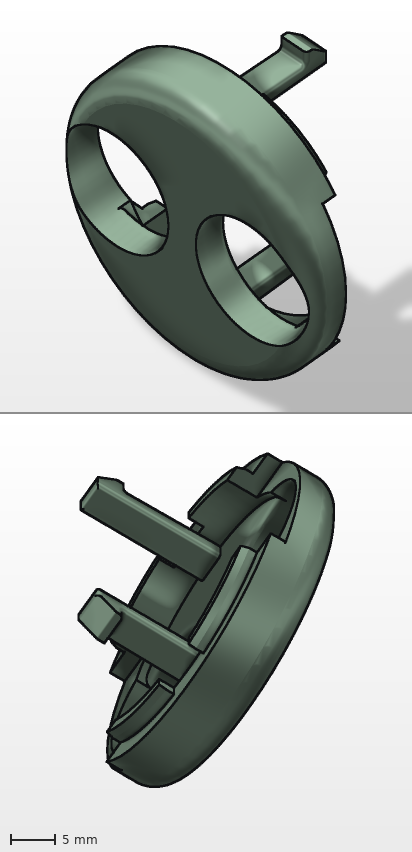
import cadquery as cq
import math

disc_radius = 20.0
disc_round = 3.0
floor_height = 5.0
low_rim_height = 6.0
high_rim_height = 8.0
cavity_radius = 16.0

notch_top = 11.55
notch_bottom = -10.5

hole_radius = 8.5
hole_offset = 10.65
hole_round = 1.0

lip_radius = 17.65
lip_height = 10.0
lip_taper_start = 9.0
lip_taper = 0.25
lip_gap = 6.1

clip_width = 4.0
clip_tip = 21.5
clip_inner = 13.4
clip_tip_outer = 15.15
hook_outer = 17.3
hook_flat_start = 18.05
hook_flat_end = 19.0
shank_outer = 15.35
shank_draft = 1.7
cove_radius = 0.6
corner_radius = 0.5
side_round = 0.6

clip_root = floor_height - 0.4
lip_overlap = 0.4


def y_cylinder(radius, start, end, x=0.0):
    """Solid cylinder along +Y between two heights."""
    return cq.Workplane("XZ", origin=(x, start, 0)).circle(radius).extrude(start - end)


def y_revolve(points):
    """Ring about the Y axis from (radius, height) points."""
    return cq.Workplane("XY").polyline(points).close().revolve(360, (0, 0), (0, 1))


def block(x_range, y_range, z_range):
    """Axis-aligned box given by its limits."""
    sizes = [end - start for start, end in (x_range, y_range, z_range)]
    corner = cq.Vector(x_range[0], y_range[0], z_range[0])
    return cq.Workplane(cq.Solid.makeBox(*sizes, corner))


def make_disc():
    disc = y_cylinder(disc_radius, 0, high_rim_height).faces("<Y").edges().fillet(disc_round)
    return disc.cut(y_cylinder(cavity_radius, floor_height, high_rim_height))


def make_lips():
    ring = y_revolve([
        (cavity_radius, high_rim_height - lip_overlap),
        (lip_radius, high_rim_height - lip_overlap),
        (lip_radius, lip_taper_start),
        (lip_radius - lip_taper, lip_height),
        (cavity_radius, lip_height),
    ])
    gap = block(
        (-lip_gap / 2, lip_gap / 2),
        (high_rim_height, lip_height),
        (-disc_radius, disc_radius),
    )
    return ring.cut(gap)


def make_notch():
    return block(
        (-disc_radius, disc_radius),
        (low_rim_height, lip_height),
        (notch_bottom, notch_top),
    )


def make_hole(x):
    hole = y_cylinder(hole_radius, 0, high_rim_height, x)
    flare_start = floor_height - hole_round
    diagonal = hole_round * math.sqrt(0.5)
    flare = (
        cq.Workplane("XY", origin=(x, 0, 0))
        .moveTo(0, flare_start)
        .lineTo(hole_radius, flare_start)
        .threePointArc(
            (hole_radius + hole_round - diagonal, flare_start + diagonal),
            (hole_radius + hole_round, floor_height),
        )
        .lineTo(0, floor_height)
        .close()
        .revolve(360, (0, 0), (0, 1))
    )
    return hole.union(flare.intersect(y_cylinder(cavity_radius, 0, floor_height)))


def make_clip():
    """Clip at +Z with its hook pointing outwards."""
    half_width = clip_width / 2
    root_outer = shank_outer + (hook_flat_start - clip_root) * math.tan(math.radians(shank_draft))
    side_profile = (
        cq.Workplane("YZ", origin=(-half_width, 0, 0))
        .polyline([
            (clip_root, clip_inner),
            (clip_tip, clip_inner),
            (clip_tip, clip_tip_outer),
            (hook_flat_end, hook_outer),
            (hook_flat_start, hook_outer),
            (hook_flat_start, shank_outer),
            (clip_root, root_outer),
        ])
        .close()
        .extrude(clip_width)
    )

    def across(y, z):
        return cq.selectors.NearestToPointSelector((0, y, z))

    clip = side_profile.edges(across(hook_flat_start, shank_outer)).fillet(cove_radius)
    for y, z in [(clip_tip, clip_inner), (clip_tip, clip_tip_outer), (hook_flat_end, hook_outer)]:
        clip = clip.edges(across(y, z)).fillet(corner_radius)

    middle = (hook_flat_start + clip_root) / 2
    back_edge = cq.selectors.NearestToPointSelector((half_width, middle, (shank_outer + root_outer) / 2))
    clip = clip.edges(back_edge).fillet(side_round)

    length = clip_tip - clip_root
    plan = (
        cq.Workplane("XY", origin=(0, clip_root + length / 2, clip_inner))
        .rect(clip_width, length)
        .extrude(hook_outer - clip_inner)
        .edges("|Z and >X and >Y")
        .fillet(side_round)
    )
    section = (
        block((-half_width, half_width), (clip_root, clip_tip), (clip_inner, hook_outer))
        .edges("|Y and <Z")
        .fillet(side_round)
    )
    return clip.intersect(plan).intersect(section)


result = make_disc().union(make_lips()).cut(make_notch())
for side in (-1, 1):
    result = result.cut(make_hole(side * hole_offset))

for angle in (0, 180):
    result = result.union(make_clip().rotate((0, 0, 0), (0, 1, 0), angle))